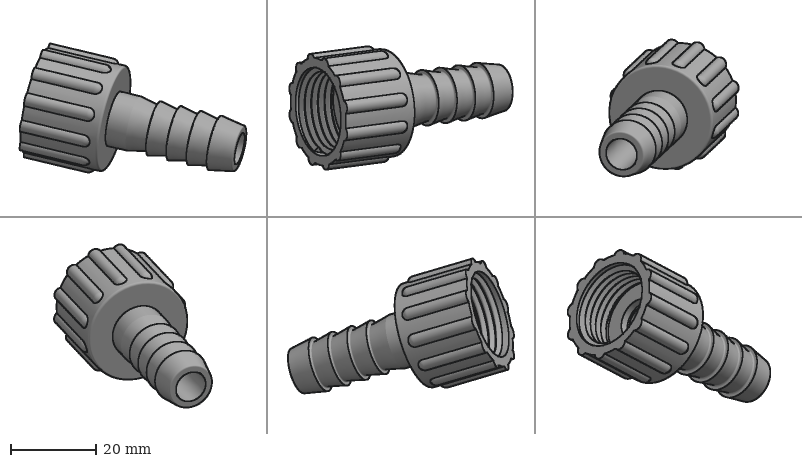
import cadquery as cq
import math


NUT_LENGTH = 19.0
NUT_RADIUS = 12.75
NUT_EDGE_FILLET = 0.55
RIB_COUNT = 12
RIB_RADIUS = 1.7
RIB_CIRCLE_RADIUS = 12.05
RIB_LENGTH = 15.45
RIB_PHASE = 14.2

BORE_RADIUS = 10.45
THREAD_MINOR_RADIUS = 9.3
THREAD_PITCH = 1.8
THREAD_FLANK_ANGLE = 27.5
THREAD_ROUNDING = 0.25
THREAD_EMBED = 0.1
ROOT_FILLET_SPREAD = 70.0
THREAD_INSET = 0.4
THREAD_END_GAP = 0.05
THREAD_START_ANGLE = 6.6
THREAD_END_FACE_OFFSET = 0.8
THREAD_END_FACE_TILT = 42.0
THREAD_CUTTER_WIDTH = 2.3

WASHER_FACE_X = 9.6
WASHER_THICKNESS = 2.0
WASHER_RADIUS = 9.25
WASHER_HOLE_RADIUS = 5.05

FLANGE_THICKNESS = 4.4
SHANK_RADIUS = 6.6
BORE_INLET_RADIUS = 4.4
BORE_OUTLET_RADIUS = 3.8
TAIL_END_X = 50.0
BARB_COUNT = 5
BARB_START_X = 24.0
BARB_PITCH = 5.0
BARB_ROOT_RADIUS = 5.55
BARB_ROOT_FILLET = 0.35
TIP_RADIUS = 5.5
TIP_FILLET = 0.4

FLANGE_X = WASHER_FACE_X + WASHER_THICKNESS
CAVITY_DEPTH = FLANGE_X + FLANGE_THICKNESS


def cylinder(radius, start_x, end_x):
    """Solid cylinder about the X axis."""
    return cq.Workplane("YZ", origin=(start_x, 0, 0)).circle(radius).extrude(end_x - start_x)


def turned(shape, angle):
    """Turn a shape about the X axis, in degrees from -Z towards +Y."""
    return shape.rotate((0, 0, 0), (1, 0, 0), angle)


def rib(angle):
    """Grip rib with a ball-shaped end."""
    bar = cylinder(RIB_RADIUS, 0, RIB_LENGTH)
    ball = cq.Workplane("XY", origin=(RIB_LENGTH, 0, 0)).sphere(RIB_RADIUS)
    return turned(bar.union(ball).translate((0, 0, -RIB_CIRCLE_RADIUS)), angle)


def on_rounding(center_radius, center_offset, side, outward, angle):
    """Point (radius, axial offset) on a thread rounding, `angle` degrees from the axis direction."""
    radial = outward * THREAD_ROUNDING * math.sin(math.radians(angle))
    axial = side * THREAD_ROUNDING * math.cos(math.radians(angle))
    return center_radius + radial, center_offset + axial


def thread_profile(half_width):
    """Ridge section: rounded crest, straight flanks, concave roots that stop just inside the wall."""
    crest_center = THREAD_MINOR_RADIUS + THREAD_ROUNDING
    flank_slope = math.tan(math.radians(THREAD_FLANK_ANGLE))
    flank_shift = 2 * THREAD_ROUNDING / math.cos(math.radians(THREAD_FLANK_ANGLE))
    root_center = crest_center + (THREAD_PITCH / 2 - flank_shift) / flank_slope
    middle_angle = (THREAD_FLANK_ANGLE + ROOT_FILLET_SPREAD) / 2
    wall_radius = BORE_RADIUS + THREAD_EMBED

    def crest(side):
        return on_rounding(crest_center, 0, side, -1, THREAD_FLANK_ANGLE)

    def root(side, angle):
        return on_rounding(root_center, side * THREAD_PITCH / 2, -side, 1, angle)

    return (
        cq.Workplane("XZ")
        .moveTo(wall_radius, -half_width)
        .lineTo(*root(-1, ROOT_FILLET_SPREAD))
        .threePointArc(root(-1, middle_angle), root(-1, THREAD_FLANK_ANGLE))
        .lineTo(*crest(-1))
        .threePointArc((THREAD_MINOR_RADIUS, 0), crest(1))
        .lineTo(*root(1, THREAD_FLANK_ANGLE))
        .threePointArc(root(1, middle_angle), root(1, ROOT_FILLET_SPREAD))
        .lineTo(wall_radius, half_width)
        .close()
    )


def thread_ridge():
    """Right-handed helical ridge on the nut's bore, its first end cut off by a tilted plane."""
    rounding_reach = THREAD_ROUNDING * math.cos(math.radians(ROOT_FILLET_SPREAD))
    half_width = THREAD_PITCH / 2 - rounding_reach
    helix_height = FLANGE_X - THREAD_INSET - 2 * half_width - THREAD_END_GAP
    helix = cq.Wire.makeHelix(THREAD_PITCH, helix_height, BORE_RADIUS)
    ridge = thread_profile(half_width).sweep(cq.Workplane(obj=helix), isFrenet=True)
    ridge = ridge.rotate((0, 0, 0), (0, 1, 0), 90)

    cutter = (
        cq.Workplane("XY")
        .box(THREAD_CUTTER_WIDTH, THREAD_PITCH, 2 * THREAD_PITCH)
        .translate((0, -THREAD_PITCH / 2, 0))
        .rotate((0, 0, 0), (0, 0, 1), -THREAD_END_FACE_TILT)
        .translate((0, THREAD_END_FACE_OFFSET, -BORE_RADIUS))
    )
    return turned(ridge.cut(cutter), THREAD_START_ANGLE).translate((THREAD_INSET + half_width, 0, 0))


def make_nut():
    body = cylinder(NUT_RADIUS, 0, NUT_LENGTH).faces(">X").edges().fillet(NUT_EDGE_FILLET)
    for index in range(RIB_COUNT):
        body = body.union(rib(RIB_PHASE + index * 360 / RIB_COUNT))
    body = body.cut(cylinder(BORE_RADIUS, 0, CAVITY_DEPTH))
    body = body.cut(cylinder(SHANK_RADIUS, CAVITY_DEPTH, NUT_LENGTH))
    return body.union(thread_ridge())


def make_washer():
    disc = cylinder(WASHER_RADIUS, WASHER_FACE_X, FLANGE_X)
    return disc.cut(cylinder(WASHER_HOLE_RADIUS, WASHER_FACE_X, FLANGE_X))


def make_tail():
    """Flanged hose tail with saw-tooth barbs and a bore that narrows to the tip."""
    outline = (
        cq.Workplane("XZ")
        .moveTo(FLANGE_X, BORE_INLET_RADIUS)
        .lineTo(FLANGE_X, BORE_RADIUS)
        .lineTo(CAVITY_DEPTH, BORE_RADIUS)
        .lineTo(CAVITY_DEPTH, SHANK_RADIUS)
        .lineTo(BARB_START_X, SHANK_RADIUS)
    )
    for index in range(1, BARB_COUNT):
        crest_x = BARB_START_X + index * BARB_PITCH
        outline = (
            outline.lineTo(crest_x - BARB_ROOT_FILLET, BARB_ROOT_RADIUS)
            .radiusArc((crest_x, BARB_ROOT_RADIUS + BARB_ROOT_FILLET), -BARB_ROOT_FILLET)
            .lineTo(crest_x, SHANK_RADIUS)
        )
    outline = outline.lineTo(TAIL_END_X, TIP_RADIUS).lineTo(TAIL_END_X, BORE_OUTLET_RADIUS).close()
    tail = outline.revolve(360, (0, 0, 0), (1, 0, 0))
    tip_edge = tail.faces(">X").edges(cq.selectors.RadiusNthSelector(-1))
    return tip_edge.fillet(TIP_FILLET)


nut = make_nut()
washer = make_washer()
tail = make_tail()
result = cq.Compound.makeCompound([nut.solids().val(), washer.solids().val(), tail.solids().val()])